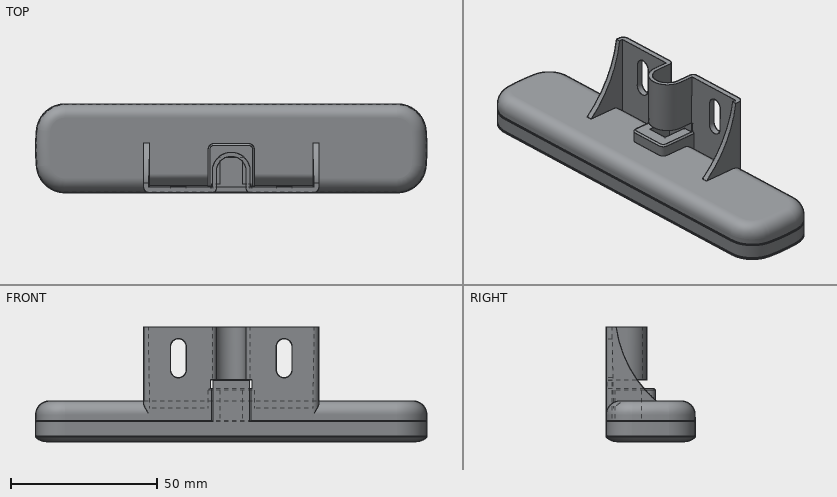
import cadquery as cq
import math

LENGTH = 134.09
WIDTH = 30.5
HEIGHT = 39.3
CORNER_RADIUS = 10.0
END_RADIUS = 60.0

LENS_TOP = 2.0
PARTING_HEIGHT = 6.9
COVER_TOP = 14.0
COVER_ROUND = 4.8
COVER_DRAFT = 1.0
SEAM_HEIGHT = 0.4
SEAM_DEPTH = 0.3
LENS_ROUND = 5.5
LENS_EDGE_HEIGHT = LENS_TOP - SEAM_HEIGHT

BRACKET_HALF = 30.0
PLATE_THICKNESS = 2.0
PLATE_CORNER_RADIUS = 2.1
GUSSET_THICKNESS = 1.6
BRACKET_DRAFT = 1.0
GUSSET_REACH = 17.1
GUSSET_TOP_REACH = 3.4
GUSSET_MIDDLE = (9.5, 22.8)

MOUNT_SLOT_SPACING = 36.2
MOUNT_SLOT_WIDTH = 5.3
MOUNT_SLOT_LENGTH = 13.3
MOUNT_SLOT_CENTRE_HEIGHT = 28.6

CHANNEL_BOTTOM = 21.2
CHANNEL_OUTER_RADIUS = 6.5
CHANNEL_WALL = 1.4
CHANNEL_CENTRE_Y = 7.4
CHANNEL_MOUTH_RADIUS = 1.6

BLOCK_HALF = 7.9
BLOCK_BACK = 16.9
BLOCK_TOP = 18.25
BLOCK_CORNER_RADIUS = 2.0
BLOCK_CHAMFER = 0.6
POCKET_HALF = 3.8
POCKET_BACK = 12.1

TAB_HALF = 6.3
TAB_TOP = 21.0
TAB_LEAN = math.radians(1)
TAB_GAP = 0.4
TAB_SLOT_DEPTH = 3.0
WINDOW_HALF = 7.1

TRENCH_ROUND = 2.4
TRENCH_EDGE_Y = 6.4
TRENCH_SLOPE = math.radians(38)

MID_Y = WIDTH / 2
END_CENTRE_X = LENGTH / 2 - END_RADIUS
CORNER_OFFSET_Y = MID_Y - CORNER_RADIUS
END_ANGLE = math.asin(CORNER_OFFSET_Y / (END_RADIUS - CORNER_RADIUS))
CORNER_CENTRE_X = END_CENTRE_X + (END_RADIUS - CORNER_RADIUS) * math.cos(END_ANGLE)
GUSSET_INNER = BRACKET_HALF - GUSSET_THICKNESS


def box(x_min, x_max, y_min, y_max, z_min, z_max):
    """Axis-aligned block between the given limits."""
    size = (x_max - x_min, y_max - y_min, z_max - z_min)
    return cq.Workplane("XY").box(*size, centered=False).translate((x_min, y_min, z_min))


def slab(z_min, z_max, offset=0.0, draft=0.0):
    """Slab with rounded corners and bulged ends, grown outward by offset and narrowing upward by draft."""
    radius = CORNER_RADIUS + offset
    half_width = MID_Y + offset
    half_length = LENGTH / 2 + offset
    middle_angle = (END_ANGLE + math.pi / 2) / 2

    def corner_point(angle, side_x, side_y):
        x = CORNER_CENTRE_X + radius * math.cos(angle)
        y = CORNER_OFFSET_Y + radius * math.sin(angle)
        return (side_x * x, side_y * y)

    outline = cq.Workplane("XY", origin=(0, MID_Y, z_min)).moveTo(-CORNER_CENTRE_X, -half_width)
    for side in (1, -1):
        outline = (
            outline.lineTo(side * CORNER_CENTRE_X, -side * half_width)
            .threePointArc(corner_point(middle_angle, side, -side), corner_point(END_ANGLE, side, -side))
            .threePointArc((side * half_length, 0), corner_point(END_ANGLE, side, side))
            .threePointArc(
                corner_point(middle_angle, side, side),
                (side * CORNER_CENTRE_X, side * half_width),
            )
        )
    return outline.close().extrude(z_max - z_min, taper=draft)


def make_lens():
    """Bottom lens: a shallow arc runs from the flat underside to a crisp edge."""
    arc_run = math.sqrt(LENS_ROUND**2 - (LENS_ROUND - LENS_EDGE_HEIGHT) ** 2)
    rounded = slab(0, 2 * LENS_ROUND, LENS_ROUND - arc_run).faces("<Z").edges().fillet(LENS_ROUND)
    rim = slab(0, LENS_EDGE_HEIGHT)
    neck = slab(LENS_EDGE_HEIGHT, LENS_TOP, -SEAM_DEPTH)
    return rim.intersect(rounded).union(neck)


def make_base():
    """Middle shell with the upright tab at the front."""
    top_front_y = (TAB_TOP - PARTING_HEIGHT) * math.tan(TAB_LEAN)
    tab_profile = [
        (0, PARTING_HEIGHT),
        (PLATE_THICKNESS, PARTING_HEIGHT),
        (PLATE_THICKNESS, TAB_TOP),
        (top_front_y, TAB_TOP),
    ]
    tab_side = cq.Workplane("YZ", origin=(-TAB_HALF, 0, 0)).polyline(tab_profile).close()
    tab = tab_side.extrude(2 * TAB_HALF)
    return slab(LENS_TOP, PARTING_HEIGHT).union(tab)


def make_cover_shell():
    """Rounded cover above the seam groove."""
    seam_top = PARTING_HEIGHT + SEAM_HEIGHT
    shell = slab(seam_top, COVER_TOP, draft=COVER_DRAFT).faces(">Z").edges().fillet(COVER_ROUND)
    return shell.union(slab(PARTING_HEIGHT, seam_top, -SEAM_DEPTH))


def make_trench(x_min, x_max):
    """Sloped trench behind the plate, with a rounded upper edge."""
    sine = math.sin(TRENCH_SLOPE)
    cosine = math.cos(TRENCH_SLOPE)
    half_angle = TRENCH_SLOPE / 2
    round_end_y = TRENCH_EDGE_Y - TRENCH_ROUND * sine
    round_end_z = COVER_TOP - TRENCH_ROUND * (1 - cosine)
    round_middle = (
        TRENCH_EDGE_Y - TRENCH_ROUND * math.sin(half_angle),
        COVER_TOP - TRENCH_ROUND * (1 - math.cos(half_angle)),
    )
    bottom_z = round_end_z - (round_end_y - PLATE_THICKNESS) * math.tan(TRENCH_SLOPE)
    return (
        cq.Workplane("YZ", origin=(x_min, 0, 0))
        .moveTo(TRENCH_EDGE_Y, COVER_TOP)
        .threePointArc(round_middle, (round_end_y, round_end_z))
        .lineTo(PLATE_THICKNESS, bottom_z)
        .lineTo(PLATE_THICKNESS, COVER_TOP)
        .close()
        .extrude(x_max - x_min)
    )


def make_bracket():
    """Front plate with a hollow-edged gusset at each end, drafted on the inside."""
    seam_top = PARTING_HEIGHT + SEAM_HEIGHT
    side = (
        cq.Workplane("YZ", origin=(-BRACKET_HALF, 0, 0))
        .moveTo(0, seam_top)
        .lineTo(GUSSET_REACH, seam_top)
        .lineTo(GUSSET_REACH, COVER_TOP)
        .threePointArc(GUSSET_MIDDLE, (GUSSET_TOP_REACH, HEIGHT))
        .lineTo(0, HEIGHT)
        .close()
        .extrude(2 * BRACKET_HALF)
    )
    inside_depth = WIDTH - PLATE_THICKNESS
    inside = (
        cq.Workplane("XY", origin=(0, PLATE_THICKNESS + inside_depth / 2, HEIGHT))
        .rect(2 * GUSSET_INNER, inside_depth)
        .extrude(-HEIGHT, taper=BRACKET_DRAFT)
    )
    return side.edges("|Z and <Y").fillet(PLATE_CORNER_RADIUS).cut(inside)


def make_block():
    """Block behind the tab, rounded at its rear corners and chamfered on top."""
    block = box(-BLOCK_HALF, BLOCK_HALF, 0, BLOCK_BACK, PARTING_HEIGHT, BLOCK_TOP)
    block = block.edges("|Z and >Y").fillet(BLOCK_CORNER_RADIUS)
    block = block.faces(">Z").edges("not <Y").chamfer(BLOCK_CHAMFER)
    plate_side = box(-BLOCK_HALF, BLOCK_HALF, 0, PLATE_THICKNESS, 0, BLOCK_TOP)
    return block.cut(plate_side)


def make_channel(radius):
    """Round-backed upright with straight sides running to the front face."""
    height = HEIGHT - CHANNEL_BOTTOM
    round_back = cq.Workplane("XY").center(0, CHANNEL_CENTRE_Y).circle(radius).extrude(height)
    sides = box(-radius, radius, 0, CHANNEL_CENTRE_Y, 0, height)
    return round_back.union(sides).translate((0, 0, CHANNEL_BOTTOM))


def make_mount_slots():
    """Two upright slots, long enough to pass through the drafted plate."""
    return (
        cq.Workplane("XZ", origin=(0, 0, MOUNT_SLOT_CENTRE_HEIGHT))
        .rarray(MOUNT_SLOT_SPACING, 1, 2, 1)
        .slot2D(MOUNT_SLOT_LENGTH, MOUNT_SLOT_WIDTH, 90)
        .extrude(-2 * PLATE_THICKNESS)
    )


def make_cover():
    """Cover, wall bracket, wire channel and tab block as one moulding."""
    cover = make_cover_shell()
    cover = cover.cut(make_trench(-GUSSET_INNER, -BLOCK_HALF))
    cover = cover.cut(make_trench(BLOCK_HALF, GUSSET_INNER))
    cover = cover.union(make_bracket()).union(make_block())

    inner_radius = CHANNEL_OUTER_RADIUS - CHANNEL_WALL
    cover = cover.union(make_channel(CHANNEL_OUTER_RADIUS)).cut(make_channel(inner_radius))

    slot_half = TAB_HALF + TAB_GAP
    cover = cover.cut(box(-slot_half, slot_half, 0, TAB_SLOT_DEPTH, PARTING_HEIGHT, CHANNEL_BOTTOM))
    cover = cover.cut(box(-WINDOW_HALF, WINDOW_HALF, 0, TAB_SLOT_DEPTH, BLOCK_TOP, CHANNEL_BOTTOM))
    cover = cover.cut(box(-POCKET_HALF, POCKET_HALF, 0, POCKET_BACK, PARTING_HEIGHT, BLOCK_TOP))

    for side in (-1, 1):
        mouth_edge = cq.selectors.NearestToPointSelector(
            (side * inner_radius, 0, (CHANNEL_BOTTOM + HEIGHT) / 2)
        )
        cover = cover.edges("|Z").edges(mouth_edge).fillet(CHANNEL_MOUTH_RADIUS)
    return cover.cut(make_mount_slots())


lens = make_lens()
base = make_base()
cover = make_cover()
result = cq.Compound.makeCompound([lens.val(), base.val(), cover.val()])